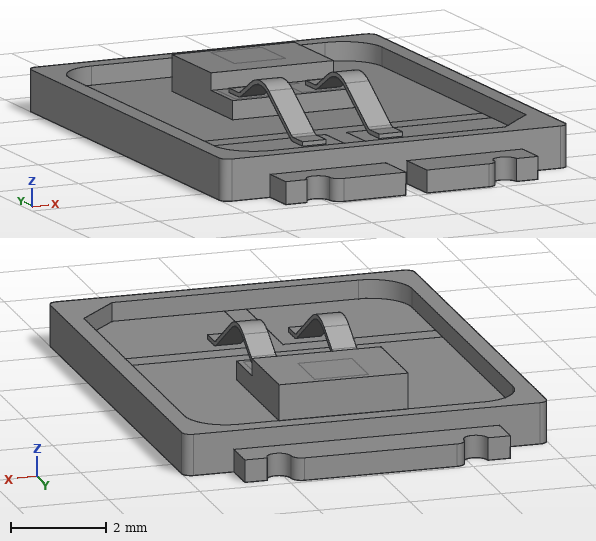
import cadquery as cq
import math

TOTAL_LENGTH = 11.8
TOTAL_HEIGHT = 1.48

HOUSING_WIDTH = 8.0
HOUSING_LENGTH = 9.79
HOUSING_HEIGHT = 0.91
HOUSING_CORNER_RADIUS = 0.2
WALL = 0.4
CAVITY_CORNER_RADIUS = 0.9
CAVITY_CHAMFER = 0.9

LEAD_THICKNESS = 0.5
LEAD_GAP = 0.48
PAD_SPLIT_Y = -1.4
TAB_WIDTH = 5.83
TAB_STEP = 0.22
NOTCH_X = 2.16
NOTCH_RADIUS = 0.26

DIE_WIDTH = 2.83
DIE_LENGTH = 3.03
DIE_FRONT_Y = 0.21
DIE_TOP_Z = 1.29
LEDGE_LENGTH = 1.09
LEDGE_Z = HOUSING_HEIGHT
WINDOW_SIZE = 1.18
WINDOW_MARGIN = 0.15
PATCH_DEPTH = 0.06
PAD_WIDTH = 1.06
PAD_X = 0.77
PAD_FRONT_MARGIN = 0.11
PAD_NOTCH_WIDTH = 0.31
PAD_NOTCH_LENGTH = 0.15

RIBBON_X = 0.88
RIBBON_WIDTH = 0.54
RIBBON_THICKNESS = 0.1
RIBBON_DIE_END_Y = 0.95
RIBBON_DIE_BEND_Y = 0.45
RIBBON_LEAD_BEND_Y = -2.2
RIBBON_LEAD_END_Y = -2.71
RIBBON_BEND_RADIUS = 0.21
CROWN_Y = -0.58
CROWN_RADIUS = 0.83

CAVITY_WIDTH = HOUSING_WIDTH - 2 * WALL
CAVITY_LENGTH = HOUSING_LENGTH - 2 * WALL
BOND_LEAD_BACK_Y = PAD_SPLIT_Y - LEAD_GAP
TAB_TIP_Y = TOTAL_LENGTH / 2
TAB_SHOULDER_Y = TAB_TIP_Y - TAB_STEP
DIE_BACK_Y = DIE_FRONT_Y + DIE_LENGTH
LEDGE_BACK_Y = DIE_FRONT_Y + LEDGE_LENGTH


def box(x_min, x_max, y_min, y_max, z_min, z_max):
    size = (x_max - x_min, y_max - y_min, z_max - z_min)
    return cq.Workplane("XY").box(*size, centered=False).translate((x_min, y_min, z_min))


def cavity_prism(height):
    """Cavity outline: three round corners and one chamfered corner."""
    prism = cq.Workplane("XY").rect(CAVITY_WIDTH, CAVITY_LENGTH).extrude(height)
    prism = prism.edges("|Z and (<X or >Y)").fillet(CAVITY_CORNER_RADIUS)
    return prism.edges("|Z and >X and <Y").chamfer(CAVITY_CHAMFER)


def back_tab():
    """Tab on the +Y side, with a round notch and a rounded tip corner on each side."""
    half_width = TAB_WIDTH / 2
    inner_x = NOTCH_X - NOTCH_RADIUS
    outer_x = NOTCH_X + NOTCH_RADIUS
    notch_bottom = (NOTCH_X, TAB_SHOULDER_Y - NOTCH_RADIUS)
    root_y = CAVITY_LENGTH / 2
    half = (
        cq.Workplane("XY")
        .moveTo(0, root_y)
        .lineTo(half_width, root_y)
        .lineTo(half_width, TAB_SHOULDER_Y)
        .lineTo(outer_x, TAB_SHOULDER_Y)
        .threePointArc(notch_bottom, (inner_x, TAB_SHOULDER_Y))
        .radiusArc((inner_x - TAB_STEP, TAB_TIP_Y), -TAB_STEP)
        .lineTo(0, TAB_TIP_Y)
        .close()
        .extrude(LEAD_THICKNESS)
    )
    return half.union(half.mirror("YZ"))


def lead_blank():
    """Floor plate with both tabs, before it is split into three leads."""
    tab = back_tab()
    return cavity_prism(LEAD_THICKNESS).union(tab).union(tab.mirror("XZ"))


def die_lead():
    keep = box(-TOTAL_LENGTH, TOTAL_LENGTH, PAD_SPLIT_Y, TOTAL_LENGTH, 0, LEAD_THICKNESS)
    return lead_blank().intersect(keep)


def bond_lead(side):
    """Small lead on the -Y side; side is -1 for -X and 1 for +X."""
    near_x = side * LEAD_GAP / 2
    far_x = side * TOTAL_LENGTH
    x_min, x_max = sorted((near_x, far_x))
    keep = box(x_min, x_max, -TOTAL_LENGTH, BOND_LEAD_BACK_Y, 0, LEAD_THICKNESS)
    return lead_blank().intersect(keep)


def make_housing(leads):
    block = cq.Workplane("XY").rect(HOUSING_WIDTH, HOUSING_LENGTH).extrude(HOUSING_HEIGHT)
    block = block.edges("|Z").fillet(HOUSING_CORNER_RADIUS)
    cavity = cavity_prism(HOUSING_HEIGHT).translate((0, 0, LEAD_THICKNESS))
    housing = block.cut(cavity)
    for lead in leads:
        housing = housing.cut(lead)
    return housing


def window_patch():
    back_y = DIE_BACK_Y - WINDOW_MARGIN
    half = WINDOW_SIZE / 2
    return box(-half, half, back_y - WINDOW_SIZE, back_y, DIE_TOP_Z - PATCH_DEPTH, DIE_TOP_Z)


def pad_patch(side):
    """Contact pad from the mesa to near the front edge of the ledge."""
    x_min = side * PAD_X - PAD_WIDTH / 2
    front_y = DIE_FRONT_Y + PAD_FRONT_MARGIN
    bottom_z = LEDGE_Z - PATCH_DEPTH
    return box(x_min, x_min + PAD_WIDTH, front_y, LEDGE_BACK_Y, bottom_z, LEDGE_Z)


def notched_pad_patch():
    """The +X pad, whose inner back corner is cut away."""
    x_min = PAD_X - PAD_WIDTH / 2
    notch_front_y = LEDGE_BACK_Y - PAD_NOTCH_LENGTH
    notch = box(x_min, x_min + PAD_NOTCH_WIDTH, notch_front_y, LEDGE_BACK_Y, 0, LEDGE_Z)
    return pad_patch(1).cut(notch)


def ribbon_slope(bend_y, foot_top_z):
    """Angle of the straight run from a foot bend, tangent to the top of the crown."""
    run = abs(bend_y - CROWN_Y)
    rise = TOTAL_HEIGHT - CROWN_RADIUS - foot_top_z
    return math.atan2(rise, run) + math.asin(CROWN_RADIUS / math.hypot(run, rise))


def crown_point(radius, angle):
    """Point (y, z) on the crown; the angle is from the vertical, positive towards +Y."""
    centre_z = TOTAL_HEIGHT - CROWN_RADIUS
    return (CROWN_Y + radius * math.sin(angle), centre_z + radius * math.cos(angle))


def round_bend(ribbon, y, z, radius):
    return ribbon.edges(cq.NearestToPointSelector((0, y, z))).fillet(radius)


def bond_ribbon(x_centre):
    """Flat ribbon from a contact pad, over a round crown, down to a lead."""
    die_foot_top = LEDGE_Z + RIBBON_THICKNESS
    lead_foot_top = LEAD_THICKNESS + RIBBON_THICKNESS
    die_slope = ribbon_slope(RIBBON_DIE_BEND_Y, die_foot_top)
    lead_slope = ribbon_slope(RIBBON_LEAD_BEND_Y, lead_foot_top)
    inner_radius = CROWN_RADIUS - RIBBON_THICKNESS
    under_die_bend_y = RIBBON_DIE_BEND_Y - RIBBON_THICKNESS * math.tan(die_slope / 2)
    under_lead_bend_y = RIBBON_LEAD_BEND_Y + RIBBON_THICKNESS * math.tan(lead_slope / 2)
    ribbon = (
        cq.Workplane("YZ")
        .moveTo(RIBBON_DIE_END_Y, die_foot_top)
        .lineTo(RIBBON_DIE_BEND_Y, die_foot_top)
        .lineTo(*crown_point(CROWN_RADIUS, die_slope))
        .threePointArc(crown_point(CROWN_RADIUS, 0), crown_point(CROWN_RADIUS, -lead_slope))
        .lineTo(RIBBON_LEAD_BEND_Y, lead_foot_top)
        .lineTo(RIBBON_LEAD_END_Y, lead_foot_top)
        .lineTo(RIBBON_LEAD_END_Y, LEAD_THICKNESS)
        .lineTo(under_lead_bend_y, LEAD_THICKNESS)
        .lineTo(*crown_point(inner_radius, -lead_slope))
        .threePointArc(crown_point(inner_radius, 0), crown_point(inner_radius, die_slope))
        .lineTo(under_die_bend_y, LEDGE_Z)
        .lineTo(RIBBON_DIE_END_Y, LEDGE_Z)
        .close()
        .extrude(RIBBON_WIDTH / 2, both=True)
    )
    top_bends = ((RIBBON_DIE_BEND_Y, die_foot_top), (RIBBON_LEAD_BEND_Y, lead_foot_top))
    under_bends = ((under_die_bend_y, LEDGE_Z), (under_lead_bend_y, LEAD_THICKNESS))
    for y, z in top_bends:
        ribbon = round_bend(ribbon, y, z, RIBBON_BEND_RADIUS)
    for y, z in under_bends:
        ribbon = round_bend(ribbon, y, z, RIBBON_BEND_RADIUS + RIBBON_THICKNESS)
    return ribbon.translate((x_centre, 0, 0))


def make_die():
    half_width = DIE_WIDTH / 2
    die = box(-half_width, half_width, DIE_FRONT_Y, DIE_BACK_Y, LEAD_THICKNESS, DIE_TOP_Z)
    die = die.cut(box(-half_width, half_width, DIE_FRONT_Y, LEDGE_BACK_Y, LEDGE_Z, DIE_TOP_Z))
    for patch in (window_patch(), pad_patch(-1), notched_pad_patch()):
        die = die.cut(patch, clean=False).union(patch, clean=False)
    for side in (-1, 1):
        die = die.union(bond_ribbon(side * RIBBON_X), clean=False)
    return die


die_pad_lead = die_lead()
bond_leads = [bond_lead(side) for side in (-1, 1)]
housing = make_housing([die_pad_lead, *bond_leads])
die = make_die()

result = cq.Compound.makeCompound(
    [housing.val(), die_pad_lead.val(), *[lead.val() for lead in bond_leads], die.val()]
)